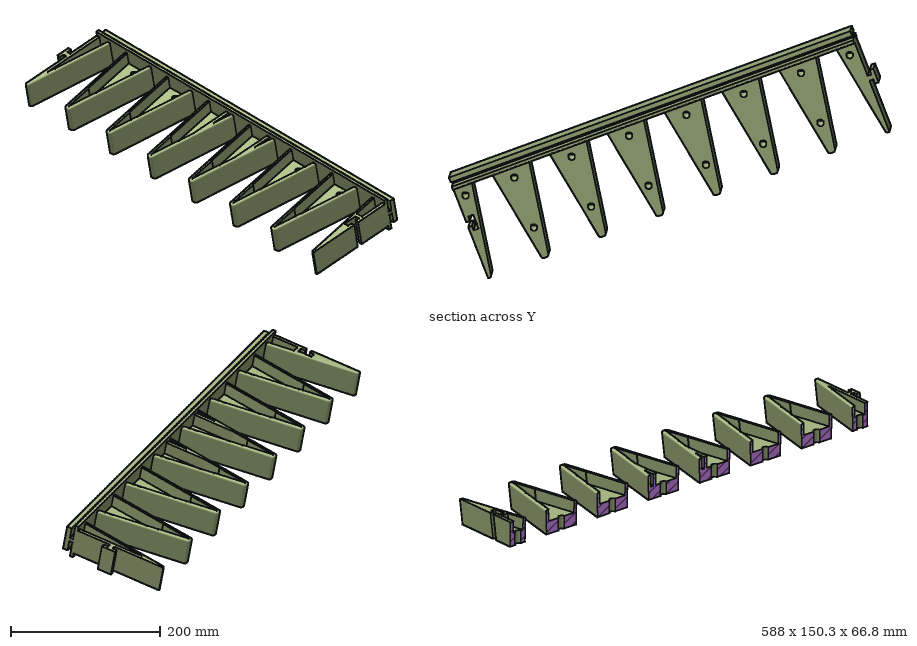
import cadquery as cq
import math

tilt_angle = 10

total_length = 588
connector_plate = 5.0
connector_gap = 5.0
connector_width = 20.0
connector_neck_width = 7.0
connector_distance = 52.5
body_length = total_length - connector_plate - connector_gap

flange_height = 50.5
flange_thickness = 4.5
rail_gap = 4.5
rail_thickness = 7.0
rail_height = 36.5
rail_neck_height = 6.0

tooth_spaces = 7
tooth_pitch = body_length / tooth_spaces
tooth_length = 130.5
tooth_height = 37.5
tooth_top = tooth_height / 2
root_half_width = 26.5
tip_half_width = 4.5
taper = (root_half_width - tip_half_width) / tooth_length
tip_round = 3.5
top_edge_round = 2.5

side_wall = 4.5
tip_side_wall = 5.0
end_wall = 5.0
pocket_depth = 17.5
pocket_step_distance = 83.5
right_pocket_length = 37.0

rib_offset = 12.0
rib_thickness = 5.0
ribbed_teeth = (3, 4)

slot_plate = 7.0

hole_diameter = 9.0
root_hole_distance = 10.5
tip_hole_distance = 82.5
end_hole_inset = 12.5

overlap = 1.0


def block(x_range, y_range, z_range):
    """Axis-aligned box given by the low and high limit on each axis."""
    low, high = zip(x_range, y_range, z_range)
    size = [end - start for start, end in zip(low, high)]
    return cq.Workplane("XY").box(*size, centered=False).translate(low)


def centred(size, middle=0):
    """Range of the given size around a middle value."""
    return (middle - size / 2, middle + size / 2)


def flange_and_rail():
    """Flange along the whole comb with the neck and bar of the rail behind it."""
    length = (0, body_length)
    rail_front = flange_thickness + rail_gap
    flange = block(length, (0, flange_thickness), centred(flange_height))
    neck = block(length, (0, rail_front), centred(rail_neck_height))
    bar = block(length, (rail_front, rail_front + rail_thickness), centred(rail_height))
    return flange.union(neck).union(bar)


def half_width(distance, inset=0):
    """Half the tooth width at a distance in front of the flange, less an inset square to the side."""
    return root_half_width - taper * distance - inset * math.hypot(1, taper)


def tooth_blank():
    """Solid tapered tooth centred on x = 0, with rounded tip corners and top edges."""
    back = half_width(-overlap)
    outline = [
        (-back, overlap),
        (back, overlap),
        (tip_half_width, -tooth_length),
        (-tip_half_width, -tooth_length),
    ]
    blank = cq.Workplane("XY").workplane(offset=-tooth_top).polyline(outline).close().extrude(tooth_height)
    blank = blank.edges("|Z and <Y").fillet(tip_round)
    return blank.faces(">Z").edges("not >Y").fillet(top_edge_round)


def tooth_pocket():
    """Pocket cutter that follows the tooth taper, stepping in to thicker walls near the tip."""
    apex_distance = half_width(0, tip_side_wall) / taper
    right_side = [
        (half_width(0, side_wall), 0),
        (half_width(pocket_step_distance, side_wall), -pocket_step_distance),
        (half_width(pocket_step_distance, tip_side_wall), -pocket_step_distance),
    ]
    left_side = [(-x, y) for x, y in reversed(right_side)]
    outline = right_side + [(0, -apex_distance)] + left_side
    return (
        cq.Workplane("XY")
        .workplane(offset=tooth_top - pocket_depth)
        .polyline(outline)
        .close()
        .extrude(pocket_depth)
    )


def full_tooth():
    return tooth_blank().cut(tooth_pocket())


def rib():
    """Upright rib to the right of the tooth middle, from the flange to the slanting side wall."""
    strip = block((rib_offset, rib_offset + rib_thickness), (-tooth_length, 0), centred(tooth_height))
    return strip.intersect(tooth_pocket())


def left_half_tooth():
    """Right half of a tooth, closed by a flat end wall on x = 0."""
    depth = (-tooth_length, overlap)
    height = centred(tooth_height)
    half = tooth_blank().intersect(block((0, tooth_pitch), depth, height))
    pocket = tooth_pocket().intersect(block((end_wall, tooth_pitch), depth, height))
    return half.cut(pocket)


def right_half_tooth():
    """Left half of a tooth, with a short pocket that leaves the front part solid."""
    height = centred(tooth_height)
    half = tooth_blank().intersect(block((-tooth_pitch, 0), (-tooth_length, overlap), height))
    pocket = tooth_pocket().intersect(block((-tooth_pitch, -end_wall), (-right_pocket_length, 0), height))
    return half.cut(pocket)


def upright_t(neck_range, plate_range):
    """Upright T bar over the full tooth height: a narrow neck and a wider plate."""
    height = centred(tooth_height)
    neck = block(neck_range, centred(connector_neck_width, -connector_distance), height)
    plate = block(plate_range, centred(connector_width, -connector_distance), height)
    return neck.union(plate)


def connector():
    return upright_t((-connector_gap, overlap), (-connector_gap - connector_plate, -connector_gap))


def connector_slot():
    plate_right = body_length - end_wall
    return upright_t((plate_right, body_length), (plate_right - slot_plate, plate_right))


def screw_holes():
    """Upright cutters: one at every tooth root and one near the tip of every full tooth."""
    full_teeth = [index * tooth_pitch for index in range(1, tooth_spaces)]
    root_row = [end_hole_inset] + full_teeth + [body_length - end_hole_inset]
    centres = [(x, -root_hole_distance) for x in root_row]
    centres += [(x, -tip_hole_distance) for x in full_teeth]
    length = 2 * tooth_length
    plane = cq.Workplane("XY").workplane(offset=-length / 2)
    return plane.pushPoints(centres).circle(hole_diameter / 2).extrude(length)


comb = flange_and_rail().union(left_half_tooth())
for index in range(1, tooth_spaces):
    tooth = full_tooth()
    if index in ribbed_teeth:
        tooth = tooth.union(rib())
    comb = comb.union(tooth.translate((index * tooth_pitch, 0, 0)))
comb = comb.union(right_half_tooth().translate((body_length, 0, 0)))
comb = comb.union(connector()).cut(connector_slot())

tilted_comb = comb.rotate((0, 0, 0), (1, 0, 0), tilt_angle)
result = tilted_comb.cut(screw_holes())